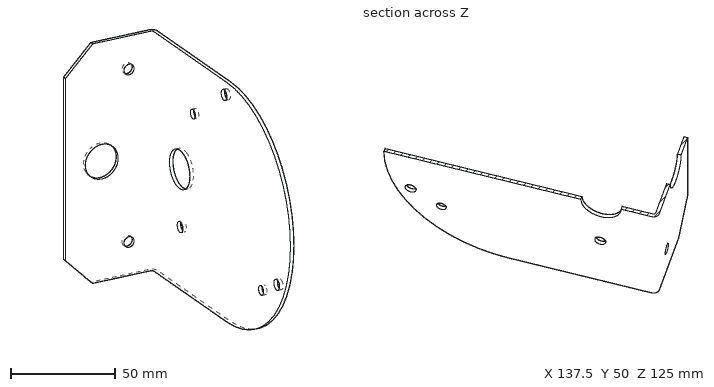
import cadquery as cq
import math

height = 125.0
thickness = 2.0
inner_bend_radius = 1.0
flange_depth = 50.0
flange_chamfer = 15.0
straight_length = 75.0

screw_hole_diameter = 5.5
screw_circle_radius = 55.0
screw_angles = (93.0, 213.0, 333.0)
small_hole_diameter = 4.8
small_circle_radius = 47.5
small_hole_angles = (135.0, 315.0)
plate_cable_hole_diameter = 20.0
plate_cable_hole_offset = 46.5

flange_cable_hole_diameter = 18.0
flange_cable_hole_depth = 30.0
flange_screw_depth = 15.0
flange_screw_spacing = 90.0

end_radius = height / 2
outer_bend_radius = inner_bend_radius + thickness
flange_x = -straight_length
plate_length = straight_length + end_radius


def bent_sheet():
    """L-shaped sheet with a rounded bend, running the full height."""
    inner_x = flange_x + thickness
    outer_bend = outer_bend_radius * (1 - math.sqrt(0.5))
    inner_bend = thickness + inner_bend_radius * (1 - math.sqrt(0.5))
    return (
        cq.Workplane("XY")
        .moveTo(flange_x, -flange_depth)
        .lineTo(flange_x, -outer_bend_radius)
        .threePointArc((flange_x + outer_bend, -outer_bend), (flange_x + outer_bend_radius, 0))
        .lineTo(end_radius, 0)
        .lineTo(end_radius, -thickness)
        .lineTo(inner_x + inner_bend_radius, -thickness)
        .threePointArc((flange_x + inner_bend, -inner_bend), (inner_x, -thickness - inner_bend_radius))
        .lineTo(inner_x, -flange_depth)
        .close()
        .extrude(end_radius, both=True)
    )


def plate_outline():
    """Block with the straight sides and the half-round end of the plate."""
    return (
        cq.Workplane("XZ")
        .moveTo(flange_x, -end_radius)
        .lineTo(0, -end_radius)
        .threePointArc((end_radius, 0), (0, end_radius))
        .lineTo(flange_x, end_radius)
        .close()
        .extrude(flange_depth)
    )


def flange_outline():
    """Block with the two cut corners of the flange, as long as the whole part."""
    return (
        cq.Workplane("YZ")
        .workplane(offset=flange_x)
        .moveTo(0, -end_radius)
        .lineTo(0, end_radius)
        .lineTo(flange_chamfer - flange_depth, end_radius)
        .lineTo(-flange_depth, end_radius - flange_chamfer)
        .lineTo(-flange_depth, flange_chamfer - end_radius)
        .lineTo(flange_chamfer - flange_depth, -end_radius)
        .close()
        .extrude(plate_length)
    )


def points_on_circle(radius, angles):
    return [
        (radius * math.cos(math.radians(angle)), radius * math.sin(math.radians(angle)))
        for angle in angles
    ]


def plate_holes(points, diameter):
    """Cylinders through the plate at (x, z) points."""
    return cq.Workplane("XZ").pushPoints(points).circle(diameter / 2).extrude(thickness)


def flange_holes(points, diameter):
    """Cylinders through the flange at (y, z) points."""
    return (
        cq.Workplane("YZ")
        .workplane(offset=flange_x)
        .pushPoints(points)
        .circle(diameter / 2)
        .extrude(thickness)
    )


screw_points = points_on_circle(screw_circle_radius, screw_angles)
small_hole_points = points_on_circle(small_circle_radius, small_hole_angles)
flange_screw_points = [(-flange_screw_depth, side * flange_screw_spacing / 2) for side in (-1, 1)]

result = (
    bent_sheet()
    .intersect(plate_outline())
    .intersect(flange_outline())
    .cut(plate_holes(screw_points, screw_hole_diameter))
    .cut(plate_holes(small_hole_points, small_hole_diameter))
    .cut(plate_holes([(-plate_cable_hole_offset, 0)], plate_cable_hole_diameter))
    .cut(flange_holes(flange_screw_points, screw_hole_diameter))
    .cut(flange_holes([(-flange_cable_hole_depth, 0)], flange_cable_hole_diameter))
)